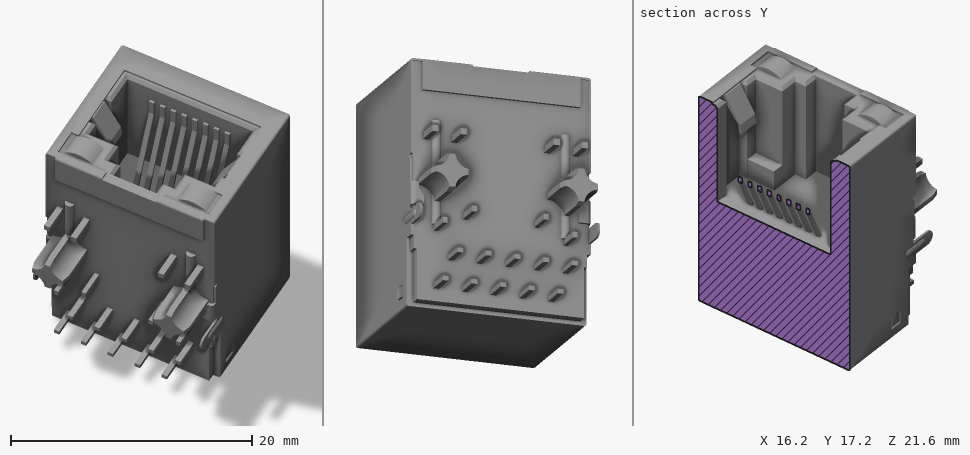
import cadquery as cq

SHIELD_WIDTH = 15.9
SHIELD_DEPTH = 13.35
OVERALL_DEPTH = 17.2
SHIELD_HEIGHT = 21.3
SHEET = 0.19
HALF_WIDTH = SHIELD_WIDTH / 2
INNER_HALF_WIDTH = HALF_WIDTH - SHEET
FACE_Z = SHIELD_HEIGHT - SHEET
HOUSING_Y = 0.1

WINDOW_HALF_WIDTH = 6.45
WINDOW_TOP_Y = 11.0
WINDOW_STEP_Y = 3.0
WINDOW_STEP_HALF_WIDTH = 7.12
WINDOW_BOTTOM_Y = 0.58
WINDOW_CORNER_RADIUS = 0.12

FLAP_HALF_WIDTH = 6.98
FLAP_BOTTOM_Z = 18.6
FLAP_GAP_HALF_WIDTH = 2.54

FOOT_TOP_Z = 5.9
FOOT_STEP_Z = 4.76
FOOT_BOTTOM_Z = 0.35
FOOT_SHIELD_Y = 1.06
FOOT_UPPER_HALF_WIDTH = 7.67
FOOT_LOWER_HALF_WIDTH = 7.4

NOTCH_BOTTOM_Z = 8.17
NOTCH_TOP_Z = 13.02
NOTCH_DEPTH = 0.26
RELIEF_RADIUS = 0.2
RELIEF_INSET = 0.16
TAB_BOTTOM_Z = 8.55
TAB_TOP_Z = 10.56
TAB_SLANT_START_Z = 9.35
TAB_SLANT_END_Z = 9.95
TAB_REACH_X = 6.87
TAB_TOP_REACH_X = 7.3
TAB_BEND_RADIUS = 2 * SHEET

PIN_END_Y = -2.25
TAIL_Z = 7.5
TAIL_WIDTH = 1.33
TAIL_CORNER_RADIUS = 0.65
BEAD_HEIGHT = 0.15
BEAD_HALF_WIDTH = 0.365
BEAD_BACK_Y = 1.43
BEAD_FRONT_Y = -1.2

LATCH_WINDOW_Y = (2.08, 3.32)
LATCH_WINDOW_Z = (0.95, 2.16)
LATCH_Y = (2.22, 3.22)
LATCH_BOTTOM_Z = 1.2

FLOOR_Z = 11.2
CAVITY_HALF_WIDTH = 5.92
CAVITY_TOP_Y = 10.55
CAVITY_SHOULDER_Y = 3.81
LATCH_SLOT_HALF_WIDTH = 3.15
LATCH_SLOT_SHOULDER_Y = 2.06
KEYWAY_HALF_WIDTH = 2.02
CAVITY_BOTTOM_Y = 0.69
GROOVE_Y = (5.02, 7.76)
GROOVE_HALF_WIDTH = 6.69
LEAD_IN = 0.27
STOP_TOP_Y = 4.93
STOP_HEIGHT = 2.0

SPRING_Y = (5.34, 7.36)
SPRING_ROOT = (-6.35, FACE_Z)
SPRING_KNEE = (-4.82, 18.67)
SPRING_TIP = (-4.69, 17.8)

CONTACT_COUNT = 8
CONTACT_PITCH = 1.016
CONTACT_WIDTH = 0.45
CONTACT_THICKNESS = 0.3
CONTACT_TOP_Z = 19.4
CONTACT_BEND_Z = 18.0
CONTACT_STUB_Y = 10.33
CONTACT_TIP_Y = 7.4

LENS_X = 5.36
LENS_WIDTH = 2.72
LENS_Y = (0.91, 2.86)
LENS_TOP_Z = 21.59
LENS_RADIUS = 2.13

POST_X = 5.715
POST_Z = 10.58
POST_REACH = 1.63
POST_TIP_HALF_WIDTH = 0.25
POST_WAIST = 0.64
POST_END_Y = SHIELD_DEPTH - OVERALL_DEPTH
POST_TAPER_LENGTH = 0.75
POST_TAPER_INSET = 0.2

RIB_RADIUS = 0.425
RIB_TOP_Y = HOUSING_Y - RIB_RADIUS
RIB_Z = (7.0, 16.03)

PIN_PITCH = 2.54
PIN_COUNT = 5
PIN_WIDE = 0.5
PIN_NARROW = 0.4
ROW_SPACING = 2.6
LOWER_ROW_Z = 1.65
LOWER_ROW_START_X = -5.715
UPPER_ROW_Z = LOWER_ROW_Z + ROW_SPACING
UPPER_ROW_START_X = LOWER_ROW_START_X + PIN_PITCH / 2
INNER_PIN_X = 3.16
INNER_PIN_Z = 8.0
OUTER_PIN_X = 5.75
OUTER_PIN_Z = 6.73
LED_PIN_Z = 14.63
LED_PIN_SIZE = 0.54
LED_PIN_X = (4.11, 6.62)


def block(x, y, z):
    """Box spanning the given (low, high) ranges."""
    size = (x[1] - x[0], y[1] - y[0], z[1] - z[0])
    return cq.Workplane().box(*size, centered=False).translate((x[0], y[0], z[0]))


def wide_block(half_width, y, z):
    """Box centred on X = 0."""
    return block((-half_width, half_width), y, z)


def both_sides(shape):
    """A shape together with its mirror image across X = 0."""
    return shape.union(shape.mirror("YZ"))


def mirrored_outline(right_half):
    """Closed outline from the points of its right half."""
    left_half = [(-x, y) for x, y in reversed(right_half)]
    return right_half + left_half


def make_body():
    body = wide_block(HALF_WIDTH, (0, SHIELD_DEPTH), (0, SHIELD_HEIGHT))
    body = body.edges(">Z or <Z or (>Y and |Z)").edges("not <Y").fillet(SHEET)
    body = body.cut(wide_block(INNER_HALF_WIDTH, (0, HOUSING_Y), (0, FACE_Z)))

    body = body.cut(wide_block(HALF_WIDTH, (0, FOOT_SHIELD_Y), (0, FOOT_TOP_Z)))
    foot_y = (HOUSING_Y, FOOT_SHIELD_Y)
    body = body.union(wide_block(FOOT_UPPER_HALF_WIDTH, foot_y, (FOOT_STEP_Z, FOOT_TOP_Z)))
    body = body.union(wide_block(FOOT_LOWER_HALF_WIDTH, foot_y, (FOOT_BOTTOM_Z, FOOT_STEP_Z)))

    flap = wide_block(FLAP_HALF_WIDTH, (-SHEET, HOUSING_Y), (FLAP_BOTTOM_Z, SHIELD_HEIGHT))
    flap = flap.edges(">Z and <Y").fillet(SHEET)
    return body.union(flap)


def mouth_window():
    z = (FACE_Z, SHIELD_HEIGHT)
    window = wide_block(WINDOW_HALF_WIDTH, (WINDOW_BOTTOM_Y, WINDOW_TOP_Y), z)
    window = window.edges("|Z and >Y").fillet(WINDOW_CORNER_RADIUS)
    window = window.union(wide_block(WINDOW_STEP_HALF_WIDTH, (WINDOW_BOTTOM_Y, WINDOW_STEP_Y), z))
    return window.union(wide_block(FLAP_GAP_HALF_WIDTH, (-SHEET, WINDOW_BOTTOM_Y), z))


def cavity_outline(flare):
    """Plug cavity section, widened by flare except at the keyway end and groove backs."""
    right_half = [
        (KEYWAY_HALF_WIDTH + flare, CAVITY_BOTTOM_Y),
        (KEYWAY_HALF_WIDTH + flare, LATCH_SLOT_SHOULDER_Y - flare),
        (LATCH_SLOT_HALF_WIDTH + flare, LATCH_SLOT_SHOULDER_Y - flare),
        (LATCH_SLOT_HALF_WIDTH + flare, CAVITY_SHOULDER_Y - flare),
        (CAVITY_HALF_WIDTH + flare, CAVITY_SHOULDER_Y - flare),
        (CAVITY_HALF_WIDTH + flare, GROOVE_Y[0] - flare),
        (GROOVE_HALF_WIDTH, GROOVE_Y[0] - flare),
        (GROOVE_HALF_WIDTH, GROOVE_Y[1] + flare),
        (CAVITY_HALF_WIDTH + flare, GROOVE_Y[1] + flare),
        (CAVITY_HALF_WIDTH + flare, CAVITY_TOP_Y + flare),
    ]
    return mirrored_outline(right_half)


def make_cavity():
    lead_in_z = FACE_Z - LEAD_IN
    floor = cq.Workplane().workplane(offset=FLOOR_Z)
    straight = floor.polyline(cavity_outline(0)).close().extrude(FACE_Z - FLOOR_Z)
    lead_in = (
        cq.Workplane().workplane(offset=lead_in_z).polyline(cavity_outline(0)).close()
        .workplane(offset=LEAD_IN).polyline(cavity_outline(LEAD_IN)).close()
        .loft(ruled=True)
    )
    stop = block(
        (LATCH_SLOT_HALF_WIDTH, CAVITY_HALF_WIDTH),
        (CAVITY_SHOULDER_Y, STOP_TOP_Y),
        (FLOOR_Z, FLOOR_Z + STOP_HEIGHT),
    )
    return straight.union(lead_in).cut(both_sides(stop))


def make_contact(x):
    """Bent strip: an upright stub on the cavity wall, then a slope down to the floor."""
    outline = [
        (CAVITY_TOP_Y, CONTACT_TOP_Z),
        (CONTACT_STUB_Y, CONTACT_TOP_Z),
        (CONTACT_STUB_Y, CONTACT_BEND_Z),
        (CONTACT_TIP_Y, FLOOR_Z),
        (CONTACT_TIP_Y + CONTACT_THICKNESS, FLOOR_Z),
        (CAVITY_TOP_Y, CONTACT_BEND_Z),
    ]
    strip = cq.Workplane("YZ").polyline(outline).close().extrude(CONTACT_WIDTH / 2, both=True)
    return strip.translate((x, 0, 0))


def make_spring():
    """Left grounding spring, sloping inward from the mouth and bending back at its end."""
    root_x, root_z = SPRING_ROOT
    knee_x, knee_z = SPRING_KNEE
    tip_x, tip_z = SPRING_TIP
    outline = [
        (-GROOVE_HALF_WIDTH, root_z),
        (root_x, root_z),
        (knee_x, knee_z),
        (tip_x, tip_z),
        (tip_x - SHEET, tip_z),
        (knee_x - SHEET, knee_z),
        (-GROOVE_HALF_WIDTH, root_z - 2 * SHEET),
    ]
    strip = cq.Workplane("XZ").polyline(outline).close().extrude(SPRING_Y[0] - SPRING_Y[1])
    return strip.translate((0, SPRING_Y[0], 0))


def make_lens():
    """Right indicator lens with a domed top, showing above the housing face."""
    dome = (
        cq.Workplane("XZ").center(LENS_X, LENS_TOP_Z - LENS_RADIUS)
        .circle(LENS_RADIUS).extrude(LENS_Y[0] - LENS_Y[1]).translate((0, LENS_Y[0], 0))
    )
    x = (LENS_X - LENS_WIDTH / 2, LENS_X + LENS_WIDTH / 2)
    return dome.intersect(block(x, LENS_Y, (FACE_Z - SHEET, LENS_TOP_Z)))


def side_notch():
    """Notch in the right wall with a round relief near each end."""
    x = (INNER_HALF_WIDTH, HALF_WIDTH)
    notch = block(x, (0, NOTCH_DEPTH), (NOTCH_BOTTOM_Z, NOTCH_TOP_Z))
    relief_z = (NOTCH_BOTTOM_Z + RELIEF_INSET, NOTCH_TOP_Z - RELIEF_INSET)
    reliefs = (
        cq.Workplane("YZ").workplane(offset=INNER_HALF_WIDTH)
        .pushPoints([(NOTCH_DEPTH, z) for z in relief_z])
        .circle(RELIEF_RADIUS).extrude(SHEET)
    )
    return notch.union(reliefs)


def folded_tab():
    """Right tab, bent from the side wall onto the board face of the housing."""
    outline = [
        (HALF_WIDTH, TAB_BOTTOM_Z),
        (TAB_REACH_X, TAB_BOTTOM_Z),
        (TAB_REACH_X, TAB_SLANT_START_Z),
        (TAB_TOP_REACH_X, TAB_SLANT_END_Z),
        (TAB_TOP_REACH_X, TAB_TOP_Z),
        (HALF_WIDTH, TAB_TOP_Z),
    ]
    tab = cq.Workplane("XZ").polyline(outline).close().extrude(NOTCH_DEPTH + SHEET)
    tab = tab.translate((0, NOTCH_DEPTH, 0))
    return tab.edges("|Z and >X and <Y").fillet(TAB_BEND_RADIUS)


def ground_tail():
    """Right ground tail: a round-ended strip carrying a pressed bead."""
    radius = TAIL_WIDTH / 2
    z = (TAIL_Z - radius, TAIL_Z + radius)
    tail = block((INNER_HALF_WIDTH, HALF_WIDTH), (PIN_END_Y, HOUSING_Y), z)
    tail = tail.edges("|X and <Y").fillet(TAIL_CORNER_RADIUS)

    bead_radius = (BEAD_HALF_WIDTH**2 + BEAD_HEIGHT**2) / (2 * BEAD_HEIGHT)
    axis_x = HALF_WIDTH + BEAD_HEIGHT - bead_radius
    back_y = BEAD_BACK_Y - BEAD_HALF_WIDTH
    front_y = BEAD_FRONT_Y + BEAD_HALF_WIDTH
    bead = cq.Workplane("XZ").circle(bead_radius).extrude(back_y - front_y).translate((0, back_y, 0))
    for y in (front_y, back_y):
        bead = bead.union(cq.Workplane().sphere(bead_radius).translate((0, y, 0)))
    bead = bead.translate((axis_x, 0, TAIL_Z))
    outside = block(
        (INNER_HALF_WIDTH + SHEET / 2, HALF_WIDTH + BEAD_HEIGHT),
        (BEAD_FRONT_Y, BEAD_BACK_Y),
        (TAIL_Z - BEAD_HALF_WIDTH, TAIL_Z + BEAD_HALF_WIDTH),
    )
    return tail.union(bead.intersect(outside))


def latch_window():
    """Pocket in the right wall around a wedge-shaped housing latch."""
    pocket = block((INNER_HALF_WIDTH, HALF_WIDTH), LATCH_WINDOW_Y, LATCH_WINDOW_Z)
    wedge = (
        cq.Workplane().workplane(offset=LATCH_BOTTOM_Z)
        .moveTo(INNER_HALF_WIDTH, LATCH_Y[0])
        .lineTo(INNER_HALF_WIDTH + SHEET / 2, LATCH_Y[0])
        .lineTo(HALF_WIDTH, LATCH_Y[1])
        .lineTo(INNER_HALF_WIDTH, LATCH_Y[1])
        .close().extrude(LATCH_WINDOW_Z[1] - LATCH_BOTTOM_Z)
    )
    return pocket.cut(wedge)


def board_post():
    """Right four-armed locating post with concave flanks and flat tapers at the arm tips."""
    r, w, waist = POST_REACH, POST_TIP_HALF_WIDTH, POST_WAIST
    length = HOUSING_Y - POST_END_Y
    star = (
        cq.Workplane("XZ").moveTo(r, -w).lineTo(r, w)
        .threePointArc((waist, waist), (w, r)).lineTo(-w, r)
        .threePointArc((-waist, waist), (-r, w)).lineTo(-r, -w)
        .threePointArc((-waist, -waist), (-w, -r)).lineTo(w, -r)
        .threePointArc((waist, -waist), (r, -w)).close()
        .extrude(length)
    )
    envelope = cq.Workplane("XZ").rect(2 * r, 2 * r).extrude(length)
    envelope = envelope.faces("<Y").chamfer(POST_TAPER_LENGTH, POST_TAPER_INSET)
    return star.intersect(envelope).translate((POST_X, HOUSING_Y, POST_Z))


def board_rib():
    """Right rounded rib running along Z behind the post."""
    r = RIB_RADIUS
    slope = r * 0.5**0.5
    return (
        cq.Workplane().workplane(offset=RIB_Z[0]).moveTo(-r, HOUSING_Y)
        .threePointArc((-slope, HOUSING_Y - slope), (0, RIB_TOP_Y))
        .threePointArc((slope, HOUSING_Y - slope), (r, HOUSING_Y)).close()
        .extrude(RIB_Z[1] - RIB_Z[0]).translate((POST_X, 0, 0))
    )


def pin(x, z, width, height):
    """Rectangular solder pin standing out of the board face."""
    return block(
        (x - width / 2, x + width / 2),
        (PIN_END_Y, HOUSING_Y),
        (z - height / 2, z + height / 2),
    )


def solder_pins():
    pins = []
    for start_x, z in ((LOWER_ROW_START_X, LOWER_ROW_Z), (UPPER_ROW_START_X, UPPER_ROW_Z)):
        for i in range(PIN_COUNT):
            pins.append(pin(start_x + i * PIN_PITCH, z, PIN_WIDE, PIN_NARROW))
    for side in (-1, 1):
        pins.append(pin(side * INNER_PIN_X, INNER_PIN_Z, PIN_NARROW, PIN_WIDE))
        pins.append(pin(side * OUTER_PIN_X, OUTER_PIN_Z, PIN_NARROW, PIN_WIDE))
        for x in LED_PIN_X:
            pins.append(pin(side * x, LED_PIN_Z, LED_PIN_SIZE, LED_PIN_SIZE))
    return pins


jack = make_body().cut(mouth_window()).cut(make_cavity())

for cutter in (side_notch(), latch_window()):
    jack = jack.cut(both_sides(cutter))

for feature in (make_spring(), make_lens(), folded_tab(), ground_tail(), board_rib(), board_post()):
    jack = jack.union(both_sides(feature))

for index in range(CONTACT_COUNT):
    contact_x = (index - (CONTACT_COUNT - 1) / 2) * CONTACT_PITCH
    jack = jack.union(make_contact(contact_x))

for solder_pin in solder_pins():
    jack = jack.union(solder_pin)

result = jack